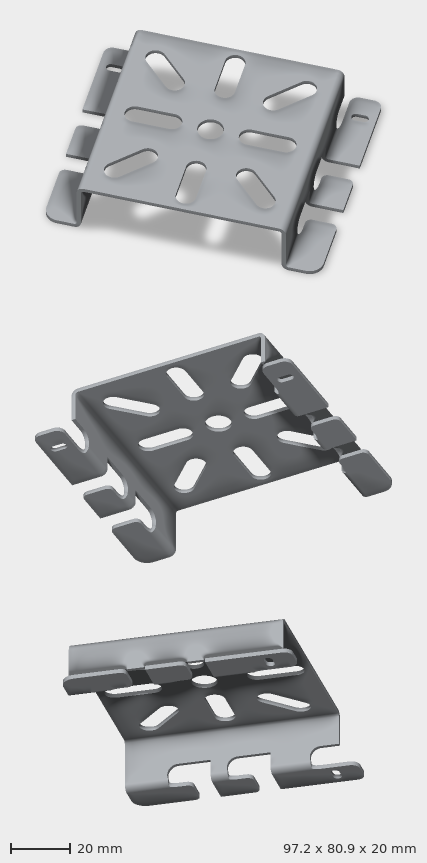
import cadquery as cq
import math

overall_width = 97.2
overall_height = 20.0
thickness = 1.5
bend_inner_radius = 1.0
bend_outer_radius = bend_inner_radius + thickness

body_width = 73.3
body_length = 75.0
rear_overhang = 5.9

wall_outer = body_width / 2
wall_inner = wall_outer - thickness
tab_root = wall_outer + bend_inner_radius
tab_outer = overall_width / 2
front = -body_length / 2
rear = body_length / 2

tabs = [
    (0.0, 23.0, 5.0, 2.0),
    (30.0, 44.0, 0.0, 2.0),
    (51.0, body_length + rear_overhang, 0.0, 3.0),
]

relief_top = 7.4
relief_radius = 3.7
relief_starts = [14.9, 35.8, 64.8]

centre_hole_diameter = 9.0
plate_slot_length = 20.0
plate_slot_width = 7.0
side_slot_offset = 20.0
end_slot_offset = 25.0
diagonal_slot_offset = 21.9

tab_slot_length = 6.0
tab_slot_width = 3.0
tab_slot_from_side = 5.6
tab_slot_from_front = 72.0


def half_web():
    """Right half of the plate with its wall and both bends, down to the root of the tabs."""
    plate_underside = overall_height - thickness
    plate_bend_x = wall_outer - bend_outer_radius
    plate_bend_z = overall_height - bend_outer_radius
    profile = (
        cq.Workplane("XZ", origin=(0, rear, 0))
        .moveTo(0, overall_height)
        .lineTo(plate_bend_x, overall_height)
        .radiusArc((wall_outer, plate_bend_z), bend_outer_radius)
        .lineTo(wall_outer, bend_outer_radius)
        .radiusArc((tab_root, thickness), -bend_inner_radius)
        .lineTo(tab_root, 0)
        .radiusArc((wall_inner, bend_outer_radius), bend_outer_radius)
        .lineTo(wall_inner, plate_bend_z)
        .radiusArc((plate_bend_x, plate_underside), -bend_inner_radius)
        .lineTo(0, plate_underside)
        .close()
    )
    return profile.extrude(body_length)


def relief(start, end):
    """Cutout with a round front end in the wall, sweeping back through the bend to the tab root."""
    centre_y = start + relief_radius
    centre_z = relief_top - relief_radius
    bend_start_y = centre_y - math.sqrt(relief_radius**2 - (centre_z - bend_outer_radius) ** 2)
    wall_cut = (
        cq.Workplane("YZ")
        .moveTo(bend_start_y, 0)
        .lineTo(bend_start_y, bend_outer_radius)
        .threePointArc((start, centre_z), (centre_y, relief_top))
        .lineTo(end, relief_top)
        .lineTo(end, 0)
        .close()
        .extrude(wall_outer)
    )
    bend_cut = (
        cq.Workplane("XY")
        .moveTo(wall_outer, centre_y)
        .ellipse(bend_inner_radius, centre_y - bend_start_y)
        .extrude(bend_outer_radius)
    )
    bend_cut_rear = (
        cq.Workplane("XY")
        .box(bend_inner_radius, end - centre_y, bend_outer_radius, centered=False)
        .translate((wall_outer, centre_y, 0))
    )
    return wall_cut.union(bend_cut).union(bend_cut_rear)


def tab(tab_front, tab_rear, front_radius, rear_radius):
    """Flat tab from the bend outwards."""
    plate = (
        cq.Workplane("XY")
        .box(tab_outer - tab_root, tab_rear - tab_front, thickness, centered=False)
        .translate((tab_root, tab_front, 0))
        .edges("|Z and >Y")
        .fillet(rear_radius)
    )
    if front_radius > 0:
        plate = plate.edges("|Z and >X and <Y").fillet(front_radius)
    return plate


def half_bracket():
    """Right half of the bracket, without the openings of the plate."""
    half = half_web()
    relief_ends = [tabs[1][0], tabs[2][0], body_length]
    for start, end in zip(relief_starts, relief_ends):
        half = half.cut(relief(front + start, front + end))
    for tab_front, tab_rear, front_radius, rear_radius in tabs:
        half = half.union(tab(front + tab_front, front + tab_rear, front_radius, rear_radius))
    tab_slot = (
        cq.Workplane("XY")
        .center(tab_outer - tab_slot_from_side, front + tab_slot_from_front)
        .slot2D(tab_slot_length, tab_slot_width)
        .extrude(thickness)
    )
    return half.cut(tab_slot)


def plate_slot(x, y, angle):
    """Slot through the plate, its length turned by the angle from X."""
    return (
        cq.Workplane("XY", origin=(x, y, overall_height))
        .slot2D(plate_slot_length, plate_slot_width, angle)
        .extrude(-thickness)
    )


right_half = half_bracket()
result = right_half.union(right_half.mirror("YZ"))

centre_hole = (
    cq.Workplane("XY", origin=(0, 0, overall_height))
    .circle(centre_hole_diameter / 2)
    .extrude(-thickness)
)
result = result.cut(centre_hole)

for side in (-1, 1):
    result = result.cut(plate_slot(side * side_slot_offset, 0, 0))
    result = result.cut(plate_slot(0, side * end_slot_offset, 90))
    diagonal = side * diagonal_slot_offset
    result = result.cut(plate_slot(diagonal, diagonal, 45))
    result = result.cut(plate_slot(diagonal, -diagonal, -45))